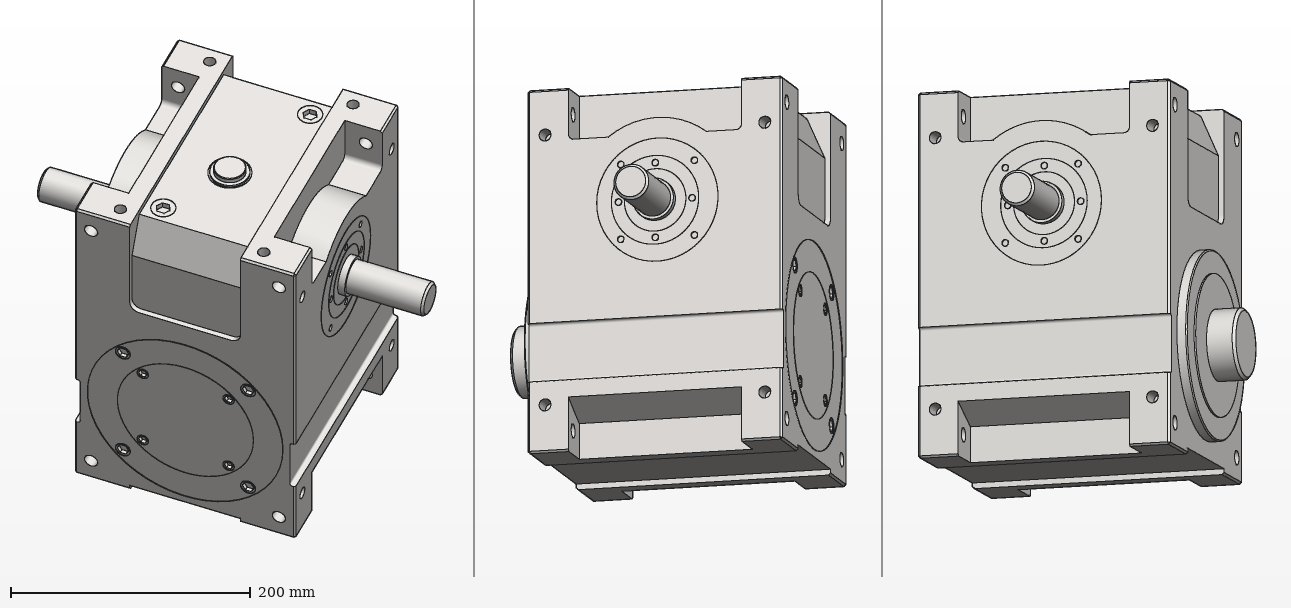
import cadquery as cq


width = 200.0
depth = 220.0
height = 309.5
edge_chamfer = 1.8
cut_margin = 3.5

channel_width = 100.0
channel_depth = 5.0
face_recess_floor = 210.7
face_recess_radius = 8.8
crown_chamfer_height = 34.3
crown_chamfer_depth = 15.5

pocket_length = 149.8
pocket_depth = 34.0
pocket_floor = 265.5
pocket_radius = 5.0
lower_pocket_inner_top = 30.5
lower_pocket_outer_top = 46.2

groove_bottom = 61.0
groove_top = 110.5
groove_depth = 5.0
groove_radius = 2.5

through_hole_diameter = 12.0
through_hole_spacing_x = 170.0
through_hole_bottom_z = 20.3
through_hole_top_z = 289.8
tapped_hole_diameter = 10.0
tapped_hole_depth = 20.0
tapped_hole_spacing_x = 130.0
tapped_hole_spacing_y = 190.0
side_hole_bottom_z = 40.5
side_hole_top_z = 270.5

shaft_z = 210.0
shaft_length = 350.0
shaft_diameter = 30.0
shaft_chamfer = 2.0
collar_diameter = 35.0
collar_projection = 5.2

bearing_y = -2.0
bearing_boss_radius = 70.0
bearing_cover_radius = 52.5
seal_cover_radius = 37.8
seal_radius = 26.5
seam_depth = 0.5
cover_screw_offset = 32.0
cover_screw_diameter = 5.5
cover_screw_depth = 2.0

output_z = 100.0
front_cover_radius = 88.5
front_cover_inset = 0.7
inner_cover_radius = 61.5
inner_cover_inset = front_cover_inset + seam_depth
cover_bolt_offset = 56.7
cover_bolt_diameter = 13.3
cover_bolt_socket = 10.5
inner_bolt_offset = 39.0
inner_bolt_diameter = 10.0
inner_bolt_socket = 7.7
bolt_head_recess = 0.7
bolt_socket_depth = 3.5
flange_radius = 80.0
flange_thickness = 8.8
flange_chamfer = 1.0
flange_step_radius = 60.2
flange_step_height = 1.5
output_shaft_diameter = 60.5
output_shaft_projection = 35.0
output_shaft_chamfer = 2.5

vent_y = -14.7
vent_seat_diameter = 36.8
vent_washer_diameter = 33.5
vent_washer_thickness = 1.5
vent_diameter = 27.3
vent_top_z = 310.5
vent_chamfer = 0.7
oil_plug_x = 34.5
oil_plug_y = 75.0
oil_plug_diameter = 21.0
oil_plug_socket = 12.5
oil_plug_socket_depth = 5.2

crown_z = height - channel_depth
half_width = width / 2
half_depth = depth / 2


def box_between(x0, x1, y0, y1, z0, z1):
    """Box given by its two ends on each axis."""
    return cq.Workplane("XY").box(x1 - x0, y1 - y0, z1 - z0, centered=False).translate((x0, y0, z0))


def both_ends(solid):
    """The solid together with its mirror image at the other shaft end."""
    return solid.union(solid.mirror("YZ"))


def square_points(offset):
    return [(x, z) for x in (-offset, offset) for z in (-offset, offset)]


def front_plane(z, inset=0.0):
    """Plane parallel to the front face, facing out of the housing."""
    return cq.Workplane("XZ", origin=(0, -half_depth + inset, z))


def side_plane(y, inset=0.0):
    """Plane parallel to the -X shaft end, facing into the housing; local axes are Y and Z."""
    return cq.Workplane("YZ", origin=(-half_width + inset, y, shaft_z))


def channels():
    """Space cleared over the crown, under the base and down the front and back faces."""
    half = channel_width / 2
    top = box_between(-half, half, -depth, depth, crown_z, height + cut_margin)
    bottom = box_between(-half, half, -depth, depth, -cut_margin, channel_depth)

    recess_face_y = half_depth - channel_depth
    recess = box_between(
        -half, half, -half_depth - cut_margin, -recess_face_y, face_recess_floor, height + cut_margin
    )
    recess = recess.edges("|Y and <Z").fillet(face_recess_radius)

    slope = (
        cq.Workplane("YZ")
        .moveTo(-recess_face_y, crown_z - crown_chamfer_height)
        .lineTo(-recess_face_y, crown_z)
        .lineTo(-recess_face_y + crown_chamfer_depth, crown_z)
        .close()
        .extrude(half, both=True)
    )
    front = recess.union(slope)
    return top.union(bottom).union(front).union(front.mirror("XZ"))


def upper_pocket():
    """Pocket above the input shaft, with the round bearing boss left standing in its floor."""
    half = pocket_length / 2
    pocket = box_between(
        -half_width - cut_margin, -half_width + pocket_depth, -half, half, pocket_floor, height + cut_margin
    )
    pocket = pocket.edges("|X and <Z").fillet(pocket_radius)
    boss = side_plane(bearing_y, -cut_margin).circle(bearing_boss_radius).extrude(half_width)
    return pocket.cut(boss)


def lower_pocket():
    """Pocket between the lower feet, with a roof that slopes down towards the housing."""
    return (
        cq.Workplane("XZ")
        .moveTo(-half_width, -cut_margin)
        .lineTo(-half_width, lower_pocket_outer_top)
        .lineTo(-half_width + pocket_depth, lower_pocket_inner_top)
        .lineTo(-half_width + pocket_depth, -cut_margin)
        .close()
        .extrude(pocket_length / 2, both=True)
    )


def side_groove():
    groove = box_between(
        -half_width - cut_margin, -half_width + groove_depth, -depth, depth, groove_bottom, groove_top
    )
    return groove.edges("|Y and >X").fillet(groove_radius)


def mounting_holes():
    """Through holes along Y, and blind holes in the top face and the shaft ends."""
    through_points = [
        (x, z)
        for x in (-through_hole_spacing_x / 2, through_hole_spacing_x / 2)
        for z in (through_hole_bottom_z, through_hole_top_z)
    ]
    through = cq.Workplane("XZ").pushPoints(through_points).circle(through_hole_diameter / 2)
    through = through.extrude(depth, both=True)

    top = (
        cq.Workplane("XY", origin=(0, 0, height))
        .rect(tapped_hole_spacing_x, tapped_hole_spacing_y, forConstruction=True)
        .vertices()
        .circle(tapped_hole_diameter / 2)
        .extrude(-tapped_hole_depth)
    )

    side_points = [
        (y, z)
        for y in (-tapped_hole_spacing_y / 2, tapped_hole_spacing_y / 2)
        for z in (side_hole_bottom_z, side_hole_top_z)
    ]
    side = (
        cq.Workplane("YZ", origin=(-half_width, 0, 0))
        .pushPoints(side_points)
        .circle(tapped_hole_diameter / 2)
        .extrude(tapped_hole_depth)
    )
    return through.union(top).union(both_ends(side))


def bearing_recesses():
    """Stepped covers around the input shaft and the holes of their screws."""
    cover = side_plane(bearing_y).circle(bearing_cover_radius).extrude(seam_depth)
    seal_cover = side_plane(0).circle(seal_cover_radius).extrude(2 * seam_depth)
    seal = side_plane(0).circle(seal_radius).extrude(3 * seam_depth)

    offset = cover_screw_offset
    outer_screws = side_plane(bearing_y).pushPoints(square_points(offset))
    outer_screws = outer_screws.circle(cover_screw_diameter / 2).extrude(cover_screw_depth)
    inner_screws = side_plane(0).pushPoints([(offset, 0), (-offset, 0), (0, offset), (0, -offset)])
    inner_screws = inner_screws.circle(cover_screw_diameter / 2).extrude(cover_screw_depth)
    return cover.union(seal_cover).union(seal).union(outer_screws).union(inner_screws)


def socket_bolts(offset, head_diameter, socket_size, inset):
    """Sunk heads with hexagon sockets for four bolts on the front cover."""
    points = square_points(offset)
    head_inset = inset + bolt_head_recess
    heads = front_plane(output_z, head_inset).pushPoints(points).circle(head_diameter / 2)
    heads = heads.extrude(head_inset)
    socket_inset = head_inset + bolt_socket_depth
    sockets = front_plane(output_z, socket_inset).pushPoints(points).polygon(6, socket_size)
    sockets = sockets.extrude(socket_inset)
    return heads.union(sockets)


def front_cover_recesses():
    """Two stepped covers opposite the output shaft, with their bolts."""
    outer = front_plane(output_z, front_cover_inset).circle(front_cover_radius).extrude(front_cover_inset)
    inner = front_plane(output_z, inner_cover_inset).circle(inner_cover_radius).extrude(inner_cover_inset)
    outer_bolts = socket_bolts(cover_bolt_offset, cover_bolt_diameter, cover_bolt_socket, front_cover_inset)
    inner_bolts = socket_bolts(inner_bolt_offset, inner_bolt_diameter, inner_bolt_socket, inner_cover_inset)
    return outer.union(inner).union(outer_bolts).union(inner_bolts)


def oil_plug_recesses():
    points = [(oil_plug_x, oil_plug_y), (-oil_plug_x, -oil_plug_y)]
    crown = cq.Workplane("XY", origin=(0, 0, crown_z)).pushPoints(points)
    plugs = crown.circle(oil_plug_diameter / 2).extrude(-seam_depth)
    sockets = crown.polygon(6, oil_plug_socket).extrude(-oil_plug_socket_depth)
    return plugs.union(sockets)


def input_shaft():
    axis = cq.Workplane("YZ", origin=(0, 0, shaft_z))
    shaft = axis.circle(shaft_diameter / 2).extrude(shaft_length / 2, both=True)
    shaft = shaft.faces("<X or >X").chamfer(shaft_chamfer)
    collar = axis.circle(collar_diameter / 2).extrude(half_width + collar_projection, both=True)
    return shaft.union(collar)


def output_cylinder(radius, projection):
    """Cylinder on the output axis that starts inside the housing and ends beyond the back face."""
    return (
        cq.Workplane("XZ", origin=(0, half_depth + projection, output_z))
        .circle(radius)
        .extrude(projection + cut_margin)
    )


def output_end():
    """Flange, its raised step and the output shaft on the back face."""
    flange = output_cylinder(flange_radius, flange_thickness).faces(">Y").chamfer(flange_chamfer)
    step = output_cylinder(flange_step_radius, flange_thickness + flange_step_height)
    shaft = output_cylinder(output_shaft_diameter / 2, output_shaft_projection)
    shaft = shaft.faces(">Y").chamfer(output_shaft_chamfer)
    return flange.union(step).union(shaft)


def vent_seat():
    """Shallow spot face in the crown under the vent washer."""
    crown = cq.Workplane("XY", origin=(0, vent_y, crown_z))
    return crown.circle(vent_seat_diameter / 2).extrude(-seam_depth)


def vent_plug():
    base = cq.Workplane("XY", origin=(0, vent_y, crown_z - seam_depth))
    washer = base.circle(vent_washer_diameter / 2).extrude(seam_depth + vent_washer_thickness)
    plug = base.circle(vent_diameter / 2).extrude(seam_depth + vent_top_z - crown_z)
    return washer.union(plug.faces(">Z").chamfer(vent_chamfer))


housing = box_between(-half_width, half_width, -half_depth, half_depth, 0, height)
housing = housing.edges().chamfer(edge_chamfer)
housing = housing.cut(channels())
for end_cut in (upper_pocket(), lower_pocket(), side_groove(), bearing_recesses()):
    housing = housing.cut(both_ends(end_cut))
housing = housing.cut(mounting_holes()).cut(front_cover_recesses()).cut(oil_plug_recesses())
housing = housing.cut(vent_seat())

result = housing.union(input_shaft()).union(output_end()).union(vent_plug())